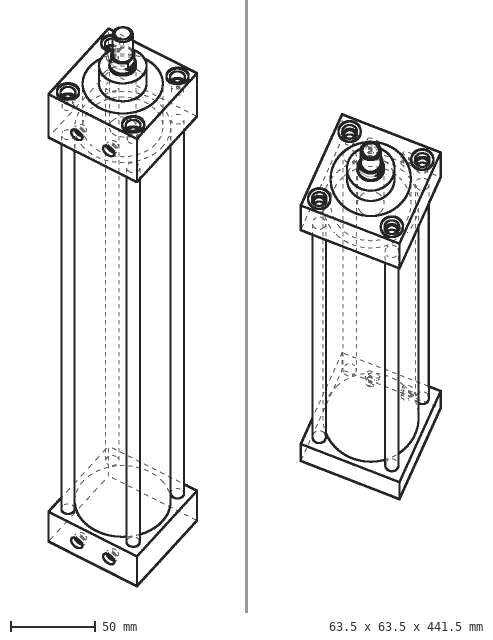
import cadquery as cq
import math

total_height = 441.5
block_side = 63.5
cap_height = 26.5
head_height = 38.5
head_top = 396.7
head_bottom = head_top - head_height

tie_spacing = 47.0
tie_radius = 4.0

barrel_diameter = 57.0

disc_radius = 24.0
boss_radius = 14.0
boss_height = 16.0
boss_top = head_top + boss_height

counterbore_radius = 6.5
counterbore_depth = 1.0
corner_bore_radius = 4.5
corner_bore_depth = 6.5
corner_pilot_radius = 3.5
corner_pilot_depth = 13.2

port_spacing = 23.0
port_bore_radius = 4.0
port_bore_depth = 3.5
port_pilot_radius = 2.5
port_pilot_depth = 6.5
cap_port_height = 11.5
head_port_height = 373.5

drill_tip_angle = math.radians(118)

guide_radius = 8.0
guide_top = 414.5
shank_diameter = 14.0
taper_top = 417.0
shank_top = 422.5
flat_bottom = 416.0
flat_distance = 12.5
stud_diameter = 12.0
stud_chamfer = 1.1


def cylinder(radius, bottom, top):
    return cq.Workplane("XY").workplane(offset=bottom).circle(radius).extrude(top - bottom)


def end_block(bottom, top):
    return (
        cq.Workplane("XY")
        .workplane(offset=bottom)
        .rect(block_side, block_side)
        .extrude(top - bottom)
    )


def drilled_hole(mouth, direction, bore_radius, bore_depth, pilot_radius, pilot_depth):
    """Cutter for a wide bore followed by a narrower pilot with a pointed floor."""
    tip_height = pilot_radius / math.tan(drill_tip_angle / 2)
    pilot_end = mouth + direction * pilot_depth
    bore = cq.Solid.makeCylinder(bore_radius, bore_depth, mouth, direction)
    pilot = cq.Solid.makeCylinder(pilot_radius, pilot_depth, mouth, direction)
    tip = cq.Solid.makeCone(pilot_radius, 0, tip_height, pilot_end, direction)
    return cq.Workplane(bore.fuse(pilot, tip))


def corner_points():
    offset = tie_spacing / 2
    return [(x, y) for x in (-offset, offset) for y in (-offset, offset)]


def cut_ports(block, height):
    for x in (-port_spacing / 2, port_spacing / 2):
        port = drilled_hole(
            cq.Vector(x, -block_side / 2, height),
            cq.Vector(0, 1, 0),
            port_bore_radius,
            port_bore_depth,
            port_pilot_radius,
            port_pilot_depth,
        )
        block = block.cut(port)
    return block


def cut_corner_holes(block):
    for x, y in corner_points():
        counterbore = cylinder(counterbore_radius, head_top - counterbore_depth, head_top)
        hole = drilled_hole(
            cq.Vector(x, y, head_top),
            cq.Vector(0, 0, -1),
            corner_bore_radius,
            corner_bore_depth,
            corner_pilot_radius,
            corner_pilot_depth,
        )
        block = block.cut(counterbore.translate((x, y, 0))).cut(hole)
    return block


def make_housing():
    housing = cut_ports(end_block(0, cap_height), cap_port_height)
    head = cut_ports(end_block(head_bottom, head_top), head_port_height)
    head = cut_corner_holes(head)
    housing = housing.union(head.cut(cylinder(disc_radius, head_bottom, head_top)))
    for x, y in corner_points():
        tie_rod = cylinder(tie_radius, cap_height, head_bottom).translate((x, y, 0))
        housing = housing.union(tie_rod)
    return housing


def make_barrel():
    return cylinder(barrel_diameter / 2, cap_height, head_bottom)


def make_gland():
    disc = cylinder(disc_radius, head_bottom, head_top)
    boss = cylinder(boss_radius, head_top, boss_top)
    return disc.union(boss).cut(cylinder(guide_radius, head_bottom, boss_top))


def make_piston_rod():
    profile = [
        (0, head_bottom),
        (guide_radius, head_bottom),
        (guide_radius, guide_top),
        (shank_diameter / 2, taper_top),
        (shank_diameter / 2, shank_top),
        (stud_diameter / 2, shank_top),
        (stud_diameter / 2, total_height - stud_chamfer),
        (stud_diameter / 2 - stud_chamfer, total_height),
        (0, total_height),
    ]
    rod = cq.Workplane("XZ").polyline(profile).close().revolve(360, (0, 0, 0), (0, 1, 0))

    cutter_side = 4 * guide_radius
    flats = (
        cq.Workplane("XY")
        .workplane(offset=flat_bottom)
        .rect(cutter_side, cutter_side)
        .rect(flat_distance, cutter_side - flat_distance)
        .extrude(shank_top - flat_bottom)
    )
    return rod.cut(flats)


housing = make_housing()
barrel = make_barrel()
gland = make_gland()
piston_rod = make_piston_rod()

result = cq.Compound.makeCompound([housing.val(), barrel.val(), gland.val(), piston_rod.val()])